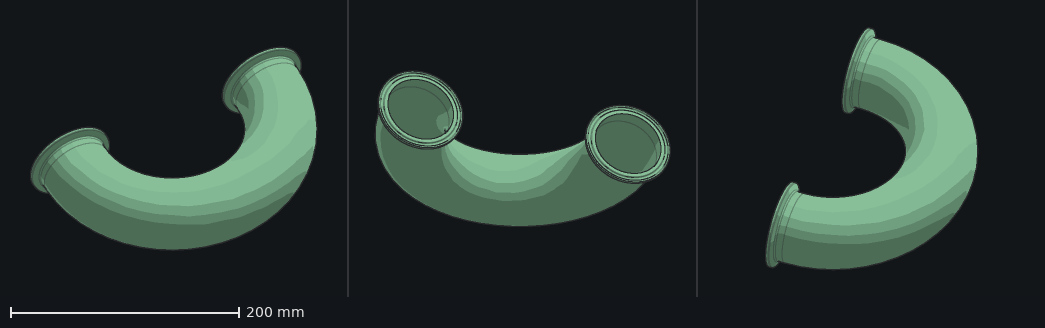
import cadquery as cq
import math


OVERALL_WIDTH = 268.0
FLANGE_DIAMETER = 77.5

TUBE_OUTER_DIAMETER = 63.5
TUBE_BORE_DIAMETER = 60.3
STRAIGHT_LENGTH = 12.9
BEND_RADIUS = (OVERALL_WIDTH - FLANGE_DIAMETER) / 2

RIM_WIDTH = 3.0
TAPER_ANGLE = 20.0
RIM_FILLET = 0.8
NECK_FILLET = 1.5

GROOVE_MEAN_DIAMETER = 70.7
GROOVE_WIDTH = 3.0
GROOVE_DEPTH = 1.3
GROOVE_LIP_FILLET = 0.5

FLANGE_RADIUS = FLANGE_DIAMETER / 2
TUBE_RADIUS = TUBE_OUTER_DIAMETER / 2
BORE_RADIUS = TUBE_BORE_DIAMETER / 2
TAPER_LENGTH = (FLANGE_RADIUS - TUBE_RADIUS) * math.tan(math.radians(TAPER_ANGLE))
NECK_X = RIM_WIDTH + TAPER_LENGTH
TOLERANCE = 0.003


def fillet_circle(body, x, radius, size):
    """Round the circular edge of an X-axis body that has the given x and radius."""
    edges = [
        edge
        for edge in body.edges("%CIRCLE").vals()
        if math.isclose(edge.Center().x, x, abs_tol=TOLERANCE)
        and math.isclose(edge.radius(), radius, abs_tol=TOLERANCE)
    ]
    return body.newObject(edges).fillet(size)


def make_ferrule():
    """Bored ferrule on the X axis, with its grooved flange face at x = 0."""
    groove_inner = (GROOVE_MEAN_DIAMETER - GROOVE_WIDTH) / 2
    groove_middle = GROOVE_MEAN_DIAMETER / 2
    groove_outer = (GROOVE_MEAN_DIAMETER + GROOVE_WIDTH) / 2
    profile = (
        cq.Workplane("XY")
        .moveTo(0, BORE_RADIUS)
        .lineTo(0, groove_inner)
        .threePointArc((GROOVE_DEPTH, groove_middle), (0, groove_outer))
        .lineTo(0, FLANGE_RADIUS)
        .lineTo(RIM_WIDTH, FLANGE_RADIUS)
        .lineTo(NECK_X, TUBE_RADIUS)
        .lineTo(STRAIGHT_LENGTH, TUBE_RADIUS)
        .lineTo(STRAIGHT_LENGTH, BORE_RADIUS)
        .close()
    )
    ferrule = profile.revolve(360, (0, 0, 0), (1, 0, 0))
    for x, radius, size in (
        (RIM_WIDTH, FLANGE_RADIUS, RIM_FILLET),
        (NECK_X, TUBE_RADIUS, NECK_FILLET),
        (0, groove_inner, GROOVE_LIP_FILLET),
        (0, groove_outer, GROOVE_LIP_FILLET),
    ):
        ferrule = fillet_circle(ferrule, x, radius, size)
    return ferrule


def make_bend():
    """Half-torus tube centred on Y = 0, from one ferrule round to the other."""
    return (
        cq.Workplane("YZ", origin=(STRAIGHT_LENGTH, 0, 0))
        .center(-BEND_RADIUS, 0)
        .circle(TUBE_RADIUS)
        .circle(BORE_RADIUS)
        .revolve(180, (BEND_RADIUS, 0, 0), (BEND_RADIUS, 1, 0))
    )


result = make_bend()
for side in (-1, 1):
    result = result.union(make_ferrule().translate((0, side * BEND_RADIUS, 0)))